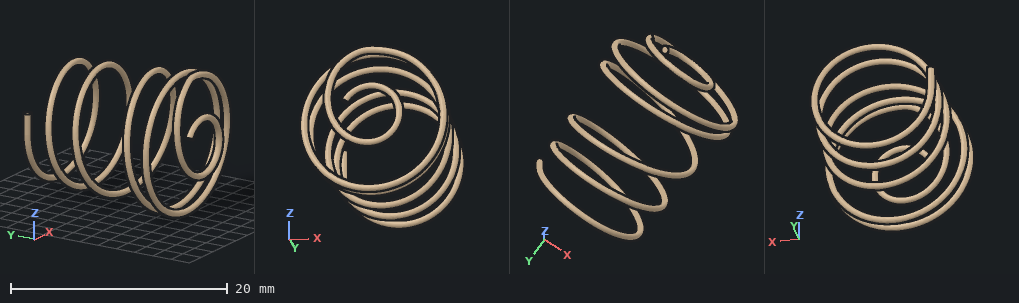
import cadquery as cq
import math

WIRE_DIAMETER = 0.8
LENGTH = 16.5
BACK_RADIUS = 5.51
FRONT_RADIUS = 6.6
TAIL_LENGTH = 2.05
HOOK_RADIUS = 2.75
HOOK_SWEEP = 240.0
TRANSITION_WIDTH = 4.03
POINTS_PER_QUARTER = 4

BACK_Y = LENGTH - WIRE_DIAMETER
HOOK_Y = 0.0
START_ANGLE = 270.0

STATIONS = [
    (BACK_Y, BACK_RADIUS),
    (15.28, 5.55), (14.29, 5.66), (13.22, 5.73), (12.36, 5.79),
    (11.73, 5.8), (11.14, 5.84), (10.13, 5.9), (8.78, 5.94),
    (7.25, 6.02), (5.58, 6.24), (4.17, 6.42), (3.23, 6.52),
    (2.65, 6.6), (2.35, FRONT_RADIUS), (2.06, FRONT_RADIUS), (1.86, FRONT_RADIUS),
    (1.58, FRONT_RADIUS), (1.0, FRONT_RADIUS),
]


def on_coil(angle, radius, y):
    """Point at an angle in degrees around the spring axis, measured from +X toward +Z."""
    turn = math.radians(angle)
    return cq.Vector(radius * math.cos(turn), y, radius * math.sin(turn))


def blend(before, start, end, after, part):
    """Smooth cubic between start and end, with slopes taken from the neighbouring values."""
    start_slope = (end - before) / 2
    end_slope = (after - start) / 2
    bend = 3 * (end - start) - 2 * start_slope - end_slope
    twist = 2 * (start - end) + start_slope + end_slope
    return start + start_slope * part + bend * part**2 + twist * part**3


def coil_points():
    """Points along the coil, up to but not including its last station."""
    padded = [STATIONS[1]] + STATIONS + [STATIONS[-1]]
    points = []
    for quarter in range(len(STATIONS) - 1):
        y_values, radii = zip(*padded[quarter:quarter + 4])
        for step in range(POINTS_PER_QUARTER):
            part = step / POINTS_PER_QUARTER
            angle = START_ANGLE + 90 * (quarter + part)
            points.append(on_coil(angle, blend(*radii, part), blend(*y_values, part)))
    return points


def transition_points():
    """Half an ellipse from the top of the coil to the bottom of the hook, easing to its plane."""
    coil_end_y = STATIONS[-1][0]
    center_z = (FRONT_RADIUS - HOOK_RADIUS) / 2
    half_height = (FRONT_RADIUS + HOOK_RADIUS) / 2
    steps = 2 * POINTS_PER_QUARTER
    points = []
    for step in range(steps + 1):
        part = step / steps
        turn = math.pi * part
        x = -TRANSITION_WIDTH * math.sin(turn)
        y = HOOK_Y + (coil_end_y - HOOK_Y) * (1 - part)**2
        z = center_z + half_height * math.cos(turn)
        points.append(cq.Vector(x, y, z))
    return points


def smooth_edges(points, end_direction):
    """Chain of splines of up to one turn each, tangent to end_direction at both ends."""
    last = len(points) - 1
    travel = [(points[i + 1] - points[i - 1]) * 0.5 for i in range(1, last)]
    travel.insert(0, end_direction * (points[1] - points[0]).Length)
    travel.append(end_direction * (points[last] - points[last - 1]).Length)
    edges = []
    turn_steps = 4 * POINTS_PER_QUARTER
    for first in range(0, last, turn_steps):
        final = min(first + turn_steps, last)
        edges.append(
            cq.Edge.makeSpline(
                points[first:final + 1],
                tangents=[travel[first], travel[final]],
                parameters=range(final - first + 1),
                scale=False,
            )
        )
    return edges


def flat_arc(radius, y, start, sweep):
    """Arc around the spring axis in a plane of constant Y."""
    places = [on_coil(start + sweep * part, radius, y) for part in (0, 0.5, 1)]
    return cq.Edge.makeThreePointArc(*places)


tail_end = cq.Vector(-BACK_RADIUS, BACK_Y, TAIL_LENGTH)
tail = cq.Edge.makeLine(tail_end, cq.Vector(-BACK_RADIUS, BACK_Y, 0))
back_arc = flat_arc(BACK_RADIUS, BACK_Y, 180, 90)
windings = smooth_edges(coil_points() + transition_points(), cq.Vector(1, 0, 0))
hook = flat_arc(HOOK_RADIUS, HOOK_Y, START_ANGLE, HOOK_SWEEP)
path = cq.Wire.assembleEdges([tail, back_arc, *windings, hook])

tail_plane = cq.Plane(origin=tail_end.toTuple(), xDir=(1, 0, 0), normal=(0, 0, -1))
result = cq.Workplane(tail_plane).circle(WIRE_DIAMETER / 2).sweep(cq.Workplane(path))